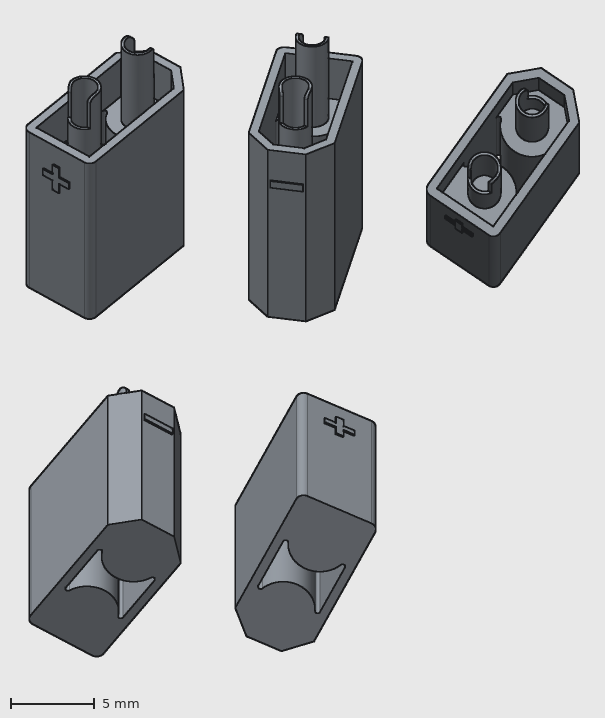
import cadquery as cq
import math

total_height = 15.5
body_width = 5.25
body_height = 12.5
overall_length = 10.45
mark_thickness = 0.1
body_length = overall_length - 2 * mark_thickness
corner_bevel = 1.45
corner_radius = 0.5

side_wall = 0.57
end_wall = 0.59
cavity_bevel = 1.12
floor_height = 9.49

pin_spacing = 5.0
pin_radius = 0.99
cup_radius = 0.8
cup_depth = 5.0
cutaway_depth = 0.5
cutaway_corner_radius = 0.5
collar_height = 0.5

seat_radius = 1.9
window_corner_radius = 0.15

mark_length = 2.0
mark_bar = 0.5
mark_depth = 2.5
mark_center_z = body_height - mark_depth


def bevelled_outline(workplane, width, length, bevel):
    """Rectangle centred on the origin, with both +Y corners cut off."""
    half_width = width / 2
    half_length = length / 2
    return workplane.polyline([
        (-half_width, -half_length),
        (half_width, -half_length),
        (half_width, half_length - bevel),
        (half_width - bevel, half_length),
        (-half_width + bevel, half_length),
        (-half_width, half_length - bevel),
    ]).close()


def make_shell():
    shell = bevelled_outline(cq.Workplane("XY"), body_width, body_length, corner_bevel)
    shell = shell.extrude(body_height)
    shell = shell.faces("<Y").edges("|Z").fillet(corner_radius)
    cavity = bevelled_outline(
        cq.Workplane("XY").workplane(offset=floor_height),
        body_width - 2 * side_wall,
        body_length - 2 * end_wall,
        cavity_bevel,
    ).extrude(body_height - floor_height)
    return shell.cut(cavity)


def make_window():
    """Opening bounded by the side walls and the two round pin seats."""
    wall_x = body_width / 2 - side_wall
    pin_y = pin_spacing / 2
    seat_y = pin_y - seat_radius

    corner_x = wall_x - window_corner_radius
    center_distance = seat_radius + window_corner_radius
    corner_drop = math.sqrt(center_distance**2 - corner_x**2)
    corner_y = pin_y - corner_drop
    touch_x = corner_x * seat_radius / center_distance
    touch_y = pin_y - corner_drop * seat_radius / center_distance
    crest_y = corner_y + window_corner_radius

    return (
        cq.Workplane("XY")
        .moveTo(wall_x, -corner_y)
        .lineTo(wall_x, corner_y)
        .threePointArc((corner_x, crest_y), (touch_x, touch_y))
        .threePointArc((0, seat_y), (-touch_x, touch_y))
        .threePointArc((-corner_x, crest_y), (-wall_x, corner_y))
        .lineTo(-wall_x, -corner_y)
        .threePointArc((-corner_x, -crest_y), (-touch_x, -touch_y))
        .threePointArc((0, -seat_y), (touch_x, -touch_y))
        .threePointArc((corner_x, -crest_y), (wall_x, -corner_y))
        .close()
        .extrude(floor_height)
    )


def make_pin():
    """Pin at +Y with a hollow solder cup, cut open on its +Y side above a collar."""
    pin_y = pin_spacing / 2
    pin = (
        cq.Workplane("XY")
        .workplane(offset=floor_height)
        .center(0, pin_y)
        .circle(pin_radius)
        .extrude(total_height - floor_height)
    )
    cup = (
        cq.Workplane("XY")
        .workplane(offset=total_height - cup_depth)
        .center(0, pin_y)
        .circle(cup_radius)
        .extrude(cup_depth)
    )
    outer_y = pin_y + pin_radius
    cut_y = outer_y - cutaway_depth
    cutaway = (
        cq.Workplane("YZ")
        .moveTo(outer_y, body_height + collar_height)
        .lineTo(cut_y, body_height + collar_height)
        .lineTo(cut_y, total_height - cutaway_corner_radius)
        .radiusArc((cut_y - cutaway_corner_radius, total_height), -cutaway_corner_radius)
        .lineTo(outer_y, total_height)
        .close()
        .extrude(pin_radius, both=True)
    )
    return pin.cut(cup).cut(cutaway)


def make_bar(side, width, height):
    """Raised bar on the end face at -Y (side = -1) or +Y (side = 1)."""
    center_y = side * (body_length + mark_thickness) / 2
    bar = cq.Workplane("XY").box(width, mark_thickness, height)
    return bar.translate((0, center_y, mark_center_z))


result = make_shell().cut(make_window())

pin = make_pin()
result = result.union(pin).union(pin.mirror("XZ"))

for side in (-1, 1):
    result = result.union(make_bar(side, mark_length, mark_bar))
result = result.union(make_bar(-1, mark_bar, mark_length))